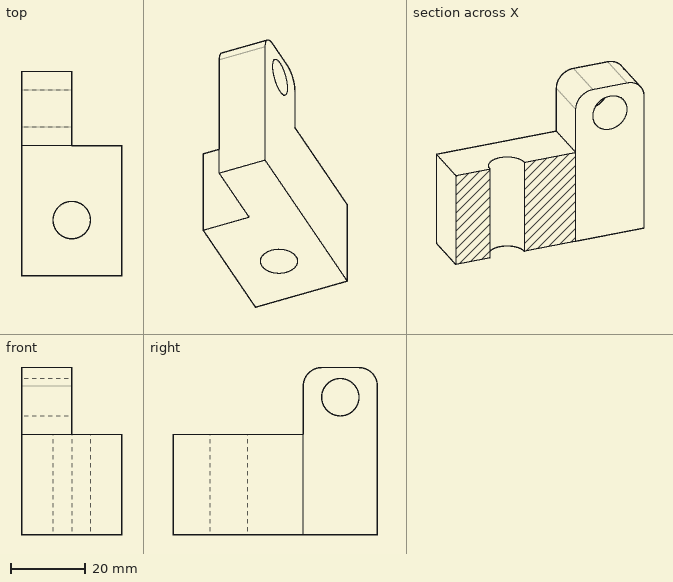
import cadquery as cq

block_width = 27.0
block_height = 27.0
block_length = 35.0

arm_thickness = block_width / 2
arm_depth = 20.0
arm_height = 45.0
arm_corner_radius = 5.0

hole_diameter = 10.0
block_hole_from_front = 15.0
arm_hole_from_top = 8.0


def make_block():
    """Block with its front lower -X corner at the origin."""
    return cq.Workplane("XY").box(block_width, block_length, block_height, centered=False)


def make_arm():
    """Upright arm with rounded top front and top back edges."""
    arm = (
        cq.Workplane("XY")
        .box(arm_thickness, arm_depth, arm_height, centered=False)
        .faces(">Z")
        .edges("|X")
        .fillet(arm_corner_radius)
    )
    return arm.translate((0, block_length, 0))


def make_block_hole():
    """Vertical through hole on the centre line of the block."""
    return (
        cq.Workplane("XY")
        .center(block_width / 2, block_hole_from_front)
        .circle(hole_diameter / 2)
        .extrude(block_height)
    )


def make_arm_hole():
    """Through hole along X, midway across the depth of the arm."""
    return (
        cq.Workplane("YZ")
        .center(block_length + arm_depth / 2, arm_height - arm_hole_from_top)
        .circle(hole_diameter / 2)
        .extrude(arm_thickness)
    )


body = make_block().union(make_arm(), clean=True)
result = body.cut(make_block_hole()).cut(make_arm_hole())